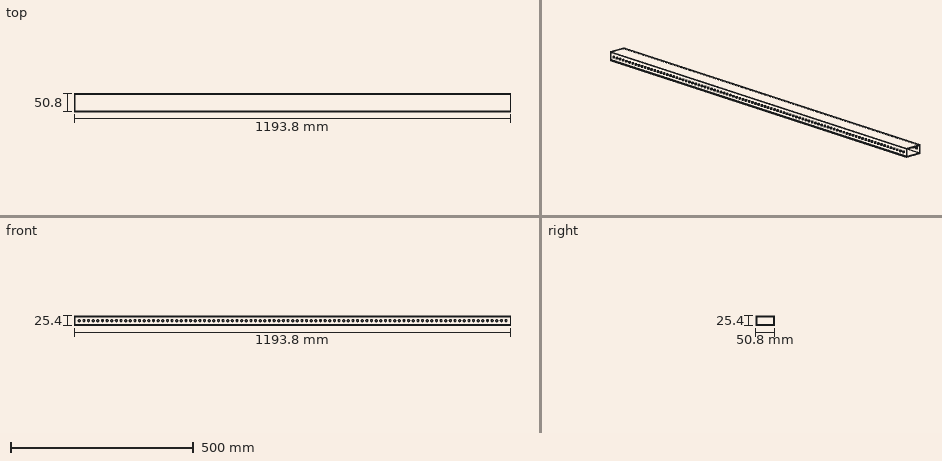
import cadquery as cq

length = 1193.8
width = 50.8
height = 25.4
wall = 2.38125

hole_pitch = 12.7
hole_diameter = 5.0
end_margin = hole_pitch
hole_count = round((length - 2 * end_margin) / hole_pitch) + 1


def make_tube():
    """Square-cornered tube, open at both ends."""
    return (
        cq.Workplane("YZ")
        .rect(width, height)
        .rect(width - 2 * wall, height - 2 * wall)
        .extrude(length / 2, both=True)
    )


def make_hole_cutters():
    """Evenly spaced pins along Y that pierce both side walls at mid height."""
    return (
        cq.Workplane("XZ")
        .rarray(hole_pitch, 1, hole_count, 1)
        .circle(hole_diameter / 2)
        .extrude(width, both=True)
    )


result = make_tube().cut(make_hole_cutters())